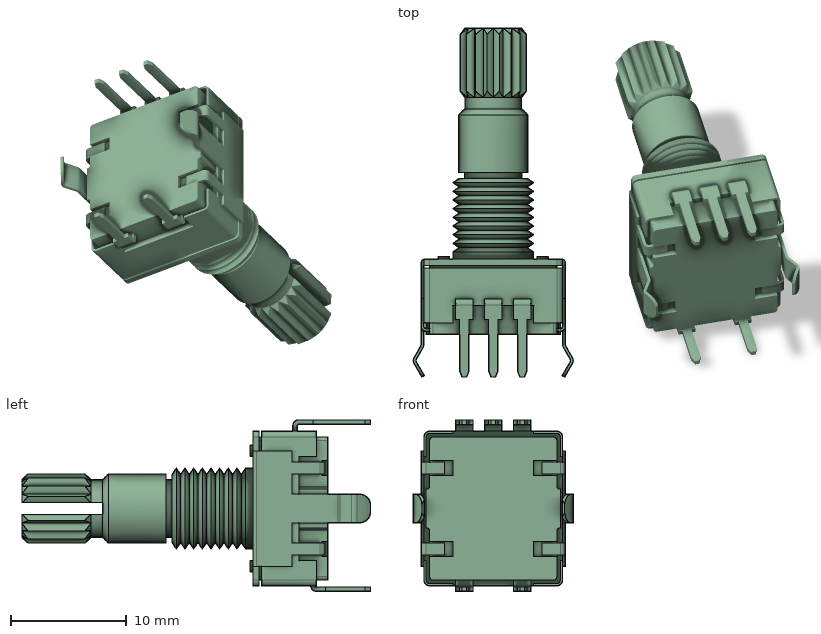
import cadquery as cq
import math


SHAFT_TIP = 20.0
SHAFT_RADIUS = 3.0
SHAFT_CHAMFER = 0.5
NECK_RADIUS = SHAFT_RADIUS - SHAFT_CHAMFER
KNURL_LENGTH = 6.0
KNURL_TEETH = 18
KNURL_CREST_RADIUS = 3.05
KNURL_CLEARANCE = 0.25
NECK_LENGTH = 1.0
SHAFT_START = 7.5
SLOT_WIDTH = 1.0

BUSHING_RADIUS = 3.5
BUSHING_END = 7.0
THREAD_PITCH = 0.75
THREAD_CRESTS = 9
THREAD_ROOT_RADIUS = 2.95
FIRST_CREST = BUSHING_END - (THREAD_CRESTS - 0.5) * THREAD_PITCH

HOUSING_X = 12.0
HOUSING_Z = 13.4
HOUSING_CORNER = 0.5
HOUSING_TOP = 0.75
SKIRT_TOP = 4.0
HOUSING_BOTTOM = 5.5
SKIRT_WALL = 0.2
SKIRT_INNER_CORNER = 0.3
SKIRT_NOTCH_X = 7.0
SKIRT_NOTCH_Z = 9.0

CORE_X = 11.0
CORE_Z = 12.4
CORE_CORNER = 0.3
CORE_BOTTOM = 6.5
BULGE_X = 11.6
BULGE_Z = 3.4
BULGE_FLARE = 0.15

PLATE_THICKNESS = 0.55
SHEET = 0.25
COVER_X = HOUSING_X + 2 * SHEET
SIDE_Z = 10.0
SIDE_DEPTH = 3.4
COVER_BEND = 0.3
NUB_RADIUS = 0.5
NUB_HEIGHT = 0.25
NUB_FILLET = 0.1
NUB_X = 4.28
NUB_Z = 5.0

TAB_Z = 3.5
TAB_WIDTH = 1.05
TAB_DEPTH = 6.25
TAB_TIP_X = 4.2
TAB_BEND = 0.45
POCKET_WIDTH = 1.3
POCKET_INNER_X = 3.5
POCKET_FLOOR = TAB_DEPTH - SHEET

TERMINAL_END = 10.2
LEG_WIDTH = 2.5
LEG_ANGLE = math.radians(30)
LEG_KNEE_DEPTH = 7.35
LEG_KNEE_RADIUS = 0.4
LEG_PEAK_X = 6.93
LEG_PEAK_RADIUS = 0.5
LEG_ROUND = 1.0

PIN_PITCH = 2.5
PIN_THICKNESS = 0.4
PIN_HEAD_WIDTH = 1.5
PIN_WIDTH = 0.8
PIN_TIP_WIDTH = 0.4
PIN_TIP_LENGTH = 0.5
PIN_BEND = 0.5
PIN_ROOT_Z = 6.0
TOP_PIN_Z = 7.675
TOP_PIN_HEAD = (3.45, 5.2)
BOTTOM_PIN_Z = 7.175
BOTTOM_PIN_HEAD = (5.0, 6.3)


def block(size_x, size_z, depth_start, depth_end):
    """Box centred on the shaft axis between two depths below the mounting face."""
    plane = cq.Workplane("XZ", origin=(0, -depth_start, 0))
    return plane.rect(size_x, size_z).extrude(depth_end - depth_start)


def mirror_to_four(feature):
    """The feature together with its mirror images across X = 0 and Z = 0."""
    pair = feature.union(feature.mirror("YZ"))
    return pair.union(pair.mirror("XY"))


def make_bushing():
    profile = [(0, 0), (BUSHING_RADIUS, 0)]
    for i in range(THREAD_CRESTS):
        crest = FIRST_CREST + i * THREAD_PITCH
        profile.append((BUSHING_RADIUS, crest))
        profile.append((THREAD_ROOT_RADIUS, crest + THREAD_PITCH / 2))
    profile.append((0, BUSHING_END))
    return cq.Workplane("XY").polyline(profile).close().revolve(360, (0, 0, 0), (0, 1, 0))


def make_knurl():
    """Saw-tooth spline, bevelled at both ends, with a tooth root facing +Z."""
    points = []
    for i in range(2 * KNURL_TEETH):
        angle = math.pi * i / KNURL_TEETH
        radius = KNURL_CREST_RADIUS if i % 2 else NECK_RADIUS
        points.append((radius * math.sin(angle), radius * math.cos(angle)))
    teeth = cq.Workplane("XZ", origin=(0, SHAFT_TIP, 0)).polyline(points).close().extrude(KNURL_LENGTH)
    envelope_radius = KNURL_CREST_RADIUS + KNURL_CLEARANCE
    envelope = (
        cq.Workplane("XZ", origin=(0, SHAFT_TIP, 0))
        .circle(envelope_radius)
        .extrude(KNURL_LENGTH)
        .edges()
        .chamfer(envelope_radius - NECK_RADIUS)
    )
    return teeth.intersect(envelope)


def make_shaft():
    knurl_start = SHAFT_TIP - KNURL_LENGTH
    shoulder = knurl_start - NECK_LENGTH
    profile = [
        (0, 0),
        (NECK_RADIUS, 0),
        (NECK_RADIUS, SHAFT_START),
        (SHAFT_RADIUS, SHAFT_START),
        (SHAFT_RADIUS, shoulder - SHAFT_CHAMFER),
        (NECK_RADIUS, shoulder),
        (NECK_RADIUS, knurl_start),
        (0, knurl_start),
    ]
    shaft = cq.Workplane("XY").polyline(profile).close().revolve(360, (0, 0, 0), (0, 1, 0))
    shaft = shaft.union(make_knurl())
    slot_length = SHAFT_TIP - shoulder
    slot = cq.Workplane("XY").box(2 * BUSHING_RADIUS, slot_length, SLOT_WIDTH)
    return shaft.cut(slot.translate((0, shoulder + slot_length / 2, 0)))


def make_bulge():
    """Raised pads on the middle of both core sides, flared where they meet the core."""
    outer_x = BULGE_X / 2
    core_x = CORE_X / 2
    half_z = BULGE_Z / 2
    quarter = [
        (outer_x, half_z),
        (core_x + BULGE_FLARE, half_z),
        (core_x, half_z + BULGE_FLARE),
    ]
    left = [(-x, z) for x, z in reversed(quarter)]
    upper = quarter + left
    lower = [(x, -z) for x, z in reversed(upper)]
    plane = cq.Workplane("XZ", origin=(0, -SKIRT_TOP, 0))
    return plane.polyline(upper + lower).close().extrude(CORE_BOTTOM - SKIRT_TOP)


def make_housing():
    """Core block inside an outer shell whose lower skirt is notched on all four sides."""
    shell = block(HOUSING_X, HOUSING_Z, HOUSING_TOP, HOUSING_BOTTOM).edges("|Y").fillet(HOUSING_CORNER)
    cavity_x = HOUSING_X - 2 * SKIRT_WALL
    cavity_z = HOUSING_Z - 2 * SKIRT_WALL
    cavity = block(cavity_x, cavity_z, SKIRT_TOP, HOUSING_BOTTOM)
    shell = shell.cut(cavity.edges("|Y").fillet(SKIRT_INNER_CORNER))
    shell = shell.cut(block(SKIRT_NOTCH_X, HOUSING_Z, SKIRT_TOP, HOUSING_BOTTOM))
    shell = shell.cut(block(HOUSING_X, SKIRT_NOTCH_Z, SKIRT_TOP, HOUSING_BOTTOM))

    core = block(CORE_X, CORE_Z, 0, CORE_BOTTOM).edges("|Y").fillet(CORE_CORNER)
    return shell.union(core).union(make_bulge())


def cut_tab_pockets(body):
    length = HOUSING_X / 2 - POCKET_INNER_X
    pocket = block(length, POCKET_WIDTH, POCKET_FLOOR, CORE_BOTTOM)
    return body.cut(mirror_to_four(pocket.translate((POCKET_INNER_X + length / 2, 0, TAB_Z))))


def make_cover():
    plate = block(HOUSING_X, HOUSING_Z, 0, PLATE_THICKNESS).edges("|Y").fillet(HOUSING_CORNER)
    bracket = block(COVER_X, SIDE_Z, 0, SIDE_DEPTH).edges(">Y and |Z").fillet(COVER_BEND)
    bracket = bracket.cut(block(HOUSING_X, SIDE_Z, PLATE_THICKNESS, SIDE_DEPTH))
    nub = cq.Workplane("XZ").circle(NUB_RADIUS).extrude(-NUB_HEIGHT).faces(">Y").edges().fillet(NUB_FILLET)
    return plate.union(bracket).union(mirror_to_four(nub.translate((NUB_X, 0, NUB_Z))))


def make_tabs():
    """Four narrow strips folded under the core into its pockets."""
    outer_x = COVER_X / 2
    inner_x = outer_x - SHEET
    inner_bend = TAB_BEND - SHEET
    tab = (
        cq.Workplane("XY", origin=(0, 0, TAB_Z - TAB_WIDTH / 2))
        .moveTo(outer_x, -SIDE_DEPTH)
        .lineTo(outer_x, TAB_BEND - TAB_DEPTH)
        .radiusArc((outer_x - TAB_BEND, -TAB_DEPTH), TAB_BEND)
        .lineTo(TAB_TIP_X, -TAB_DEPTH)
        .lineTo(TAB_TIP_X, SHEET - TAB_DEPTH)
        .lineTo(outer_x - TAB_BEND, SHEET - TAB_DEPTH)
        .radiusArc((inner_x, TAB_BEND - TAB_DEPTH), -inner_bend)
        .lineTo(inner_x, -SIDE_DEPTH)
        .close()
        .extrude(TAB_WIDTH)
    )
    return mirror_to_four(tab)


def make_snap_legs():
    """Two spring legs that kink outward, turn back at a rounded peak and end in a rounded tip."""
    sin_a = math.sin(LEG_ANGLE)
    cos_a = math.cos(LEG_ANGLE)
    tan_a = math.tan(LEG_ANGLE)
    outer_x = COVER_X / 2
    knee_inner_radius = LEG_KNEE_RADIUS + SHEET
    peak_inner_radius = LEG_PEAK_RADIUS - SHEET

    knee_x = outer_x + LEG_KNEE_RADIUS * (1 - cos_a)
    knee_y = -LEG_KNEE_DEPTH - LEG_KNEE_RADIUS * sin_a
    peak_x = LEG_PEAK_X - LEG_PEAK_RADIUS * (1 - cos_a)
    peak_start_y = knee_y - (peak_x - knee_x) / tan_a
    peak_end_y = peak_start_y - 2 * LEG_PEAK_RADIUS * sin_a
    end_x = peak_x - (TERMINAL_END + peak_end_y) * tan_a
    inner_dx = SHEET * cos_a
    inner_dy = SHEET * sin_a

    leg = (
        cq.Workplane("XY")
        .moveTo(outer_x, -SIDE_DEPTH)
        .lineTo(outer_x, -LEG_KNEE_DEPTH)
        .radiusArc((knee_x, knee_y), -LEG_KNEE_RADIUS)
        .lineTo(peak_x, peak_start_y)
        .radiusArc((peak_x, peak_end_y), LEG_PEAK_RADIUS)
        .lineTo(end_x, -TERMINAL_END)
        .lineTo(end_x - inner_dx, inner_dy - TERMINAL_END)
        .lineTo(peak_x - inner_dx, peak_end_y + inner_dy)
        .radiusArc((peak_x - inner_dx, peak_start_y - inner_dy), -peak_inner_radius)
        .lineTo(knee_x - inner_dx, knee_y - inner_dy)
        .radiusArc((outer_x - SHEET, -LEG_KNEE_DEPTH), knee_inner_radius)
        .lineTo(outer_x - SHEET, -SIDE_DEPTH)
        .close()
        .extrude(LEG_WIDTH / 2, both=True)
    )
    outline = block(2 * LEG_PEAK_X, LEG_WIDTH, SIDE_DEPTH, TERMINAL_END)
    leg = leg.intersect(outline.edges("<Y and |X").fillet(LEG_ROUND))
    return leg.union(leg.mirror("YZ"))


def make_pin(height, head):
    """Upward pin at X = 0: leaves the housing along Z, bends and runs toward -Y."""
    head_start, head_end = head
    inner_bend = PIN_BEND - PIN_THICKNESS
    bar = (
        cq.Workplane("YZ")
        .moveTo(-head_start, PIN_ROOT_Z)
        .lineTo(-head_start, height - PIN_BEND)
        .radiusArc((-head_start - PIN_BEND, height), -PIN_BEND)
        .lineTo(-TERMINAL_END, height)
        .lineTo(-TERMINAL_END, height - PIN_THICKNESS)
        .lineTo(-head_start - PIN_BEND, height - PIN_THICKNESS)
        .radiusArc((-head_start - PIN_THICKNESS, height - PIN_BEND), inner_bend)
        .lineTo(-head_start - PIN_THICKNESS, PIN_ROOT_Z)
        .close()
        .extrude(PIN_HEAD_WIDTH / 2, both=True)
    )
    right_side = [
        (PIN_HEAD_WIDTH / 2, -head_start),
        (PIN_HEAD_WIDTH / 2, -head_end),
        (PIN_WIDTH / 2, -head_end),
        (PIN_WIDTH / 2, PIN_TIP_LENGTH - TERMINAL_END),
        (PIN_TIP_WIDTH / 2, -TERMINAL_END),
    ]
    left_side = [(-x, y) for x, y in reversed(right_side)]
    outline = cq.Workplane("XY").polyline(right_side + left_side).close().extrude(height)
    return bar.intersect(outline)


result = cut_tab_pockets(make_housing())
for feature in (make_cover(), make_bushing(), make_shaft(), make_tabs(), make_snap_legs()):
    result = result.union(feature)

top_pin = make_pin(TOP_PIN_Z, TOP_PIN_HEAD)
for x in (-PIN_PITCH, 0, PIN_PITCH):
    result = result.union(top_pin.translate((x, 0, 0)))

bottom_pin = make_pin(BOTTOM_PIN_Z, BOTTOM_PIN_HEAD).mirror("XY")
for x in (-PIN_PITCH, PIN_PITCH):
    result = result.union(bottom_pin.translate((x, 0, 0)))